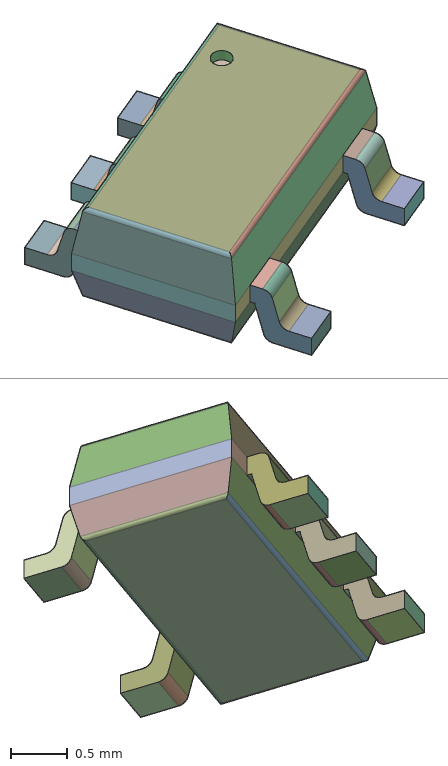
import cadquery as cq
import math

HOUSING_WIDTH = 1.6
HOUSING_LENGTH = 2.9
HOUSING_TOP = 1.1
HOUSING_BOTTOM = 0.05
TAPER_INSET = 0.078
EDGE_RADIUS = 0.04

MARK_DIAMETER = 0.2
MARK_DEPTH = 0.11
MARK_X = -0.478

LEAD_SPAN = 2.8
LEAD_WIDTH = 0.397
LEAD_THICKNESS = 0.2
LEAD_PITCH = 0.95
SHOULDER_TOP = 0.6
TOE_TO_SLOPE = 0.295
SLOPE_ANGLE = 15.0
BEND_RADIUS = 0.1

SHOULDER_BOTTOM = SHOULDER_TOP - LEAD_THICKNESS
MARK_Y = LEAD_PITCH


def frustum(base_z, tip_z):
    """Part of the housing that narrows from the band to a smaller end face."""
    return (
        cq.Workplane("XY", origin=(0, 0, base_z))
        .rect(HOUSING_WIDTH, HOUSING_LENGTH)
        .workplane(offset=tip_z - base_z)
        .rect(HOUSING_WIDTH - 2 * TAPER_INSET, HOUSING_LENGTH - 2 * TAPER_INSET)
        .loft(ruled=True)
    )


def make_housing():
    """Molded housing with rounded end-face edges and the pin-one mark."""
    band = (
        cq.Workplane("XY", origin=(0, 0, SHOULDER_BOTTOM))
        .rect(HOUSING_WIDTH, HOUSING_LENGTH)
        .extrude(LEAD_THICKNESS)
    )
    upper = frustum(SHOULDER_TOP, HOUSING_TOP)
    lower = frustum(SHOULDER_BOTTOM, HOUSING_BOTTOM)
    body = band.union(upper).union(lower)
    body = body.faces(">Z or <Z").edges().fillet(EDGE_RADIUS)

    mark = (
        cq.Workplane("XY", origin=(MARK_X, MARK_Y, HOUSING_TOP - MARK_DEPTH))
        .circle(MARK_DIAMETER / 2)
        .extrude(MARK_DEPTH)
    )
    return body.cut(mark)


def make_lead(side, center_y):
    """One lead; side is -1 for the -X row and +1 for the +X row."""
    slope = math.tan(math.radians(SLOPE_ANGLE))
    slope_width = LEAD_THICKNESS / math.cos(math.radians(SLOPE_ANGLE))

    toe_x = LEAD_SPAN / 2
    wall_x = HOUSING_WIDTH / 2
    foot_bend_x = toe_x - TOE_TO_SLOPE
    shoulder_bend_x = foot_bend_x - SHOULDER_BOTTOM * slope
    heel_x = foot_bend_x + LEAD_THICKNESS * slope - slope_width
    armpit_x = heel_x - SHOULDER_BOTTOM * slope

    profile = [
        (toe_x, 0),
        (toe_x, LEAD_THICKNESS),
        (foot_bend_x, LEAD_THICKNESS),
        (shoulder_bend_x, SHOULDER_TOP),
        (wall_x, SHOULDER_TOP),
        (wall_x, SHOULDER_BOTTOM),
        (armpit_x, SHOULDER_BOTTOM),
        (heel_x, 0),
    ]
    strip = (
        cq.Workplane("XZ", origin=(0, center_y, 0))
        .polyline([(side * x, z) for x, z in profile])
        .close()
        .extrude(LEAD_WIDTH / 2, both=True)
    )

    rounded_bends = [
        (foot_bend_x, LEAD_THICKNESS),
        (shoulder_bend_x, SHOULDER_TOP),
        (heel_x, 0),
    ]
    for x, z in rounded_bends:
        bend = cq.selectors.NearestToPointSelector((side * x, center_y, z))
        strip = strip.edges("|Y").edges(bend).fillet(BEND_RADIUS)
    return strip


LEAD_ROWS = {-1: (-LEAD_PITCH, 0, LEAD_PITCH), 1: (-LEAD_PITCH, LEAD_PITCH)}

housing = make_housing()
leads = [make_lead(side, y).val() for side, row in LEAD_ROWS.items() for y in row]

result = cq.Compound.makeCompound([housing.val(), *leads])